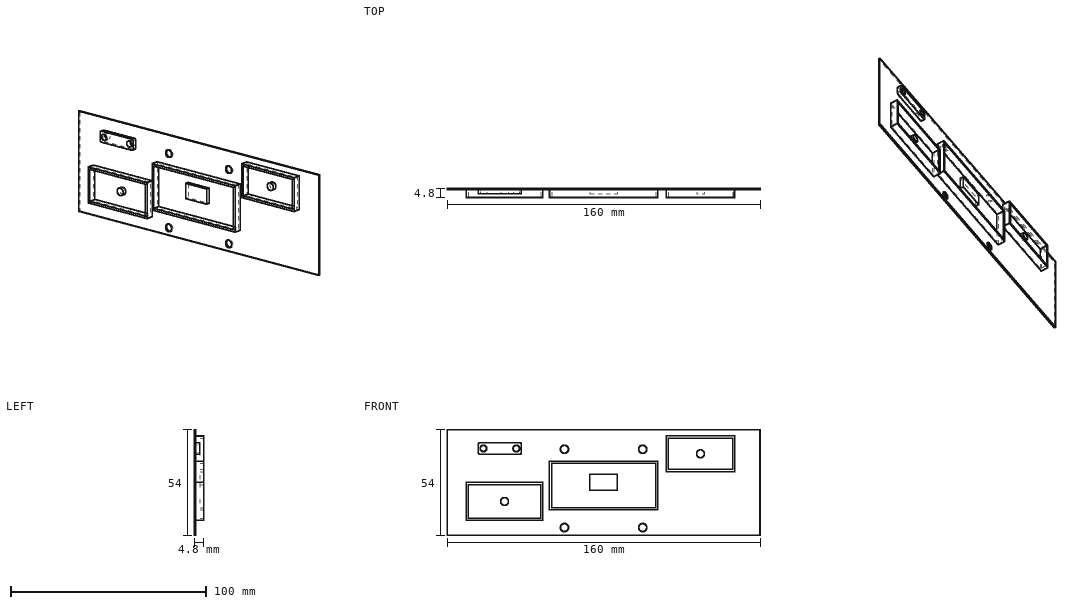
import cadquery as cq

PLATE_LENGTH = 160.0
PLATE_HEIGHT = 54.0
PLATE_THICKNESS = 0.8

FRAME_DEPTH = 4.0
FRAME_WALL = 1.1
LEFT_FRAME_SIZE = (39.2, 19.4)
LEFT_FRAME_CENTER = (-50.6, -9.65)
MAIN_FRAME_SIZE = (55.4, 25.0)
MAIN_FRAME_CENTER = (0.0, -1.5)
RIGHT_FRAME_SIZE = (35.0, 18.2)
RIGHT_FRAME_CENTER = (49.5, 14.7)

RAISED_DEPTH = 2.0
PIN_DIAMETER = 4.0
PAD_SIZE = (14.0, 8.2)
PAD_CENTER = (0.0, 0.2)

BAR_SIZE = (22.0, 6.0)
BAR_CENTER = (-53.0, 17.4)
BAR_DEPTH = 2.0
BAR_CORNER_RADIUS = 1.0
BAR_HOLE_DIAMETER = 3.2
BAR_HOLE_SPACING = 16.8

MOUNT_HOLE_DIAMETER = 4.0
MOUNT_HOLE_SPACING = 40.0
MOUNT_PATTERN_CENTER = (0.0, -3.0)


def front_sketch(center):
    """Workplane on the plate's front face, extruding towards -Y."""
    return cq.Workplane("XZ", origin=(0, -PLATE_THICKNESS, 0)).center(*center)


def raised_block(size, center, depth):
    return front_sketch(center).rect(*size).extrude(depth)


def frame(size, center):
    inner_size = [side - 2 * FRAME_WALL for side in size]
    return front_sketch(center).rect(*size).rect(*inner_size).extrude(FRAME_DEPTH)


def pin(center):
    return front_sketch(center).circle(PIN_DIAMETER / 2).extrude(RAISED_DEPTH)


def through_holes(center, rows, spacing, diameter):
    """Two columns of cutters, running from the back face past the frame fronts."""
    return (
        cq.Workplane("XZ")
        .center(*center)
        .rarray(spacing, spacing, 2, rows)
        .circle(diameter / 2)
        .extrude(PLATE_THICKNESS + FRAME_DEPTH)
    )


plate = cq.Workplane("XZ").rect(PLATE_LENGTH, PLATE_HEIGHT).extrude(PLATE_THICKNESS)

bar = raised_block(BAR_SIZE, BAR_CENTER, BAR_DEPTH).edges("|Y").fillet(BAR_CORNER_RADIUS)
bar_holes = through_holes(BAR_CENTER, 1, BAR_HOLE_SPACING, BAR_HOLE_DIAMETER)
mount_holes = through_holes(MOUNT_PATTERN_CENTER, 2, MOUNT_HOLE_SPACING, MOUNT_HOLE_DIAMETER)

result = (
    plate
    .union(frame(LEFT_FRAME_SIZE, LEFT_FRAME_CENTER))
    .union(pin(LEFT_FRAME_CENTER))
    .union(frame(MAIN_FRAME_SIZE, MAIN_FRAME_CENTER))
    .union(raised_block(PAD_SIZE, PAD_CENTER, RAISED_DEPTH))
    .union(frame(RIGHT_FRAME_SIZE, RIGHT_FRAME_CENTER))
    .union(pin(RIGHT_FRAME_CENTER))
    .union(bar)
    .cut(bar_holes)
    .cut(mount_holes)
)